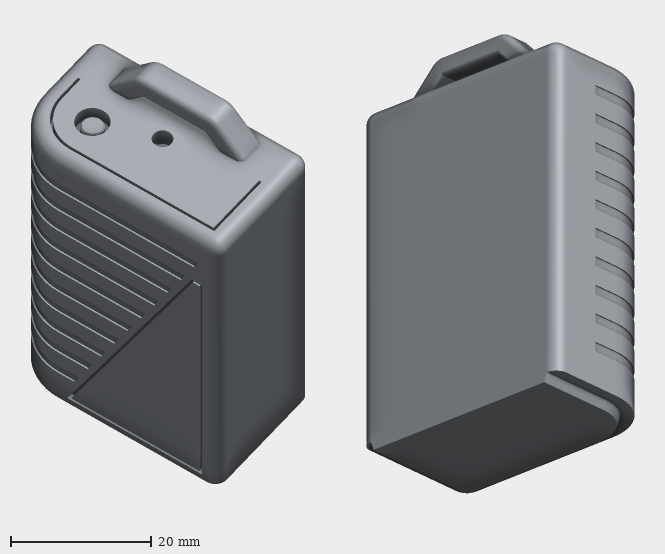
import cadquery as cq
import math

case_width = 38.07
front_depth = 14.11
rear_depth = 8.1
case_bottom = 1.4
case_top = 54.1
big_corner_radius = 9.65
edge_radius = 2.0

case_depth = front_depth + rear_depth
case_height = case_top - case_bottom
case_mid_y = (rear_depth - front_depth) / 2

foot_inset = 2.0
foot_taper_angle = 20.0

handle_top = 59.53
handle_bar = 3.0
handle_depth = 5.05
handle_back_inset = 2.1
handle_half_foot = 12.05
handle_bend_radius = 2.8
handle_outer_fillet = 1.0
handle_inner_fillet = 0.4

panel_gap = 0.43
top_panel_thickness = 2.5
side_panel_thickness = 1.0
top_recess_inset = 2.75
panel_floor = case_top - top_panel_thickness
side_recess_right = 16.12
side_recess_bottom = 2.47
side_recess_top = 44.47
side_recess_top_left = 14.26
side_recess_bottom_left = -7.74

groove_count = 10
groove_pitch = 4.515
groove_height = 1.5
groove_depth = 0.25
first_groove_top = 49.06
groove_panel_margin = 1.0

connector_x = -9.75
connector_y = 8.7 - front_depth
connector_bore_radius = 2.6
connector_pin_radius = 1.8
connector_pin_drop = 0.75
connector_pin_chamfer = 0.3

small_hole_x = 0.15
small_hole_y = -1.96
small_hole_radius = 1.55
small_hole_step_y = -1.57
small_hole_step_height = 0.5
small_hole_depth = top_panel_thickness + small_hole_step_height

FRONT = -1
REAR = 1


def case_outline(inset, depth):
    """Case outline with its large corner, moved inward on the front and both sides.

    The front of the uninset case lies on Y = 0 of the sketch; the outline runs back to the given depth.
    """
    return (
        cq.Sketch()
        .push([(0, (depth + inset) / 2)])
        .rect(case_width - 2 * inset, depth - inset)
        .reset()
        .vertices("<X and <Y")
        .fillet(big_corner_radius - inset)
    )


def case_prism(inset, depth, start_z, height, taper=0):
    """Case outline extruded upward, or downward for a negative height, narrowing by the taper angle."""
    plane = cq.Workplane("XY", origin=(0, -front_depth, start_z))
    return plane.placeSketch(case_outline(inset, depth)).extrude(height, taper=taper)


def case_block():
    """Both shells and the foot as one solid, before it is parted at the joint."""
    body = case_prism(0, case_depth, case_bottom, case_height)
    sharp_uprights = body.edges("|Z").edges(">X or >Y")
    body = body.faces(">Z").edges().add(sharp_uprights).fillet(edge_radius)
    return body.union(foot())


def foot():
    """Tapered block under the case."""
    tapered = case_prism(foot_inset, 2 * case_depth, case_bottom, -case_bottom, foot_taper_angle)
    case_space = cq.Workplane("XY").box(case_width, case_depth, 2 * case_height)
    return tapered.intersect(case_space.translate((0, case_mid_y, 0)))


def half_of(solid, side):
    """Part of a solid that lies in front of the joint (FRONT) or behind it (REAR)."""
    space = cq.Workplane("XY").box(2 * case_width, 2 * case_depth, 4 * case_height)
    return solid.intersect(space.translate((0, side * case_depth, 0)))


def handle():
    """Trapezoidal arch standing on the top of the rear shell, its slanted legs at 45 degrees."""
    rise = handle_top - case_top
    outer_half_top = handle_half_foot - rise
    inner_rise = rise - handle_bar
    inner_half_foot = handle_half_foot - handle_bar * math.sqrt(2)
    inner_half_top = inner_half_foot - inner_rise
    plane = cq.Workplane("XZ", origin=(0, rear_depth - handle_back_inset, case_top))

    def trapezoid(half_foot, half_top, height):
        corners = [(-half_foot, 0), (-half_top, height), (half_top, height), (half_foot, 0)]
        return plane.polyline(corners).close().extrude(handle_depth)

    arch = trapezoid(handle_half_foot, outer_half_top, rise)
    arch = arch.edges("|Y and (not <Z)").fillet(handle_bend_radius)
    arch = arch.faces("<Y or >Y").edges("not <Z").fillet(handle_outer_fillet)
    arch = arch.cut(trapezoid(inner_half_foot, inner_half_top, inner_rise))

    margin = handle_inner_fillet / 2
    opening_space = cq.selectors.BoxSelector(
        (-inner_half_foot, -front_depth, case_top + margin),
        (inner_half_foot, rear_depth, case_top + inner_rise + margin),
    )
    return arch.faces("<Y or >Y").edges(opening_space).fillet(handle_inner_fillet)


def top_panel_prism(inset):
    """Prism from the recess floor up to the case top, its sides that far inside the case outline."""
    return case_prism(inset, front_depth, panel_floor, top_panel_thickness)


def side_panel_prism(offset):
    """Prism from the recess floor out to the front face, its outline moved inward by the offset."""
    outline = [
        (side_recess_bottom_left, side_recess_bottom),
        (side_recess_right, side_recess_bottom),
        (side_recess_right, side_recess_top),
        (side_recess_top_left, side_recess_top),
    ]
    plane = cq.Workplane("XZ", origin=(0, side_panel_thickness - front_depth, 0))
    wire = plane.polyline(outline).close()
    if offset:
        wire = wire.offset2D(-offset, "intersection")
    return wire.extrude(side_panel_thickness)


def grip_grooves():
    """Bands that cut into the left and front faces, ending parallel to the side panel's slanted edge."""
    slant_rise = side_recess_top - side_recess_bottom
    slant_run = side_recess_top_left - side_recess_bottom_left
    run_per_rise = slant_run / slant_rise
    margin_along_x = groove_panel_margin * math.hypot(1, run_per_rise)

    def end_x(z):
        return side_recess_bottom_left + (z - side_recess_bottom) * run_per_rise - margin_along_x

    ring_height = first_groove_top - case_bottom
    ring = case_prism(0, case_depth, case_bottom, ring_height)
    ring = ring.cut(case_prism(groove_depth, case_depth, case_bottom, ring_height))
    ring = half_of(ring, FRONT)

    grooves = []
    for i in range(groove_count):
        z_top = first_groove_top - i * groove_pitch
        z_bottom = z_top - groove_height
        band = (
            cq.Workplane("XZ")
            .polyline([
                (-case_width, z_bottom), (end_x(z_bottom), z_bottom),
                (end_x(z_top), z_top), (-case_width, z_top),
            ])
            .close()
            .extrude(case_depth)
        )
        grooves.append(ring.intersect(band).val())
    return cq.Workplane(cq.Compound.makeCompound(grooves))


def connector_cylinder(radius, bottom, top):
    return cq.Workplane("XY", origin=(connector_x, connector_y, bottom)).circle(radius).extrude(top - bottom)


def small_hole():
    """Blind round hole whose floor is stepped up to the recess floor in front of a chord."""
    floor_z = case_top - small_hole_depth
    bore = (
        cq.Workplane("XY", origin=(small_hole_x, small_hole_y, floor_z))
        .circle(small_hole_radius)
        .extrude(small_hole_depth)
    )
    step = (
        cq.Workplane("XY", origin=(small_hole_x, small_hole_step_y - small_hole_radius, floor_z))
        .box(2 * small_hole_radius, 2 * small_hole_radius, 2 * small_hole_step_height)
    )
    return bore.cut(step)


def build_front_shell(block):
    return (
        half_of(block, FRONT)
        .cut(grip_grooves())
        .cut(top_panel_prism(top_recess_inset))
        .cut(side_panel_prism(0))
        .cut(small_hole())
    )


def build_rear_shell(block):
    return half_of(block, REAR).union(handle())


def build_top_panel():
    return (
        top_panel_prism(top_recess_inset + panel_gap)
        .cut(connector_cylinder(connector_bore_radius, panel_floor, case_top))
        .cut(small_hole())
    )


def build_side_panel():
    return side_panel_prism(panel_gap)


def build_connector_pin():
    """Pin that stands on the floor of the connector bore, its rim below the case top."""
    pin_top = case_top - connector_pin_drop
    pin = connector_cylinder(connector_pin_radius, panel_floor, pin_top)
    return pin.faces(">Z").edges().chamfer(connector_pin_chamfer)


case = case_block()
front_shell = build_front_shell(case)
rear_shell = build_rear_shell(case)
top_panel = build_top_panel()
side_panel = build_side_panel()
connector_pin = build_connector_pin()

result = cq.Compound.makeCompound([
    front_shell.val(),
    rear_shell.val(),
    top_panel.val(),
    side_panel.val(),
    connector_pin.val(),
])